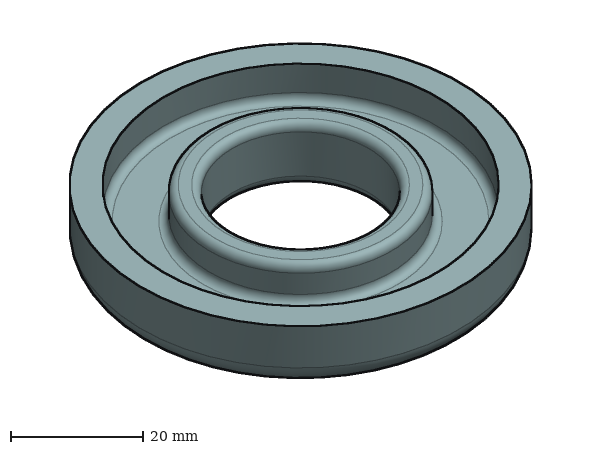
import cadquery as cq

outer_diameter = 70
height = 12.0
recess_diameter = 60.0
recess_depth = 7
hub_diameter = 40.0
bore_diameter = 30.0
outer_fillet = 4.0
small_fillet = 1.5
lower_bore_fillet = 2.0

floor_height = height - recess_depth


def ring(outer, inner, base, thickness):
    """Return a flat ring about Z, standing on the level `base`."""
    return (
        cq.Workplane("XY", origin=(0, 0, base))
        .circle(outer / 2)
        .circle(inner / 2)
        .extrude(thickness)
    )


def round_circle(body, diameter, level, radius):
    """Fillet the circular edge with this diameter at this height."""
    tolerance = 0.01
    reach = diameter / 2 + tolerance
    inside = diameter / 2 - tolerance
    edges = [
        edge
        for edge in body.edges("%CIRCLE").vals()
        if inside < edge.radius() < reach and abs(edge.Center().z - level) < tolerance
    ]
    return body.newObject(edges).fillet(radius)


body = ring(outer_diameter, bore_diameter, 0, height)
body = body.cut(ring(recess_diameter, hub_diameter, floor_height, recess_depth))

body = round_circle(body, outer_diameter, 0, outer_fillet)
body = round_circle(body, recess_diameter, floor_height, small_fillet)
body = round_circle(body, hub_diameter, floor_height, small_fillet)
body = round_circle(body, hub_diameter, height, small_fillet)
body = round_circle(body, bore_diameter, height, small_fillet)
body = round_circle(body, bore_diameter, 0, lower_bore_fillet)

result = body